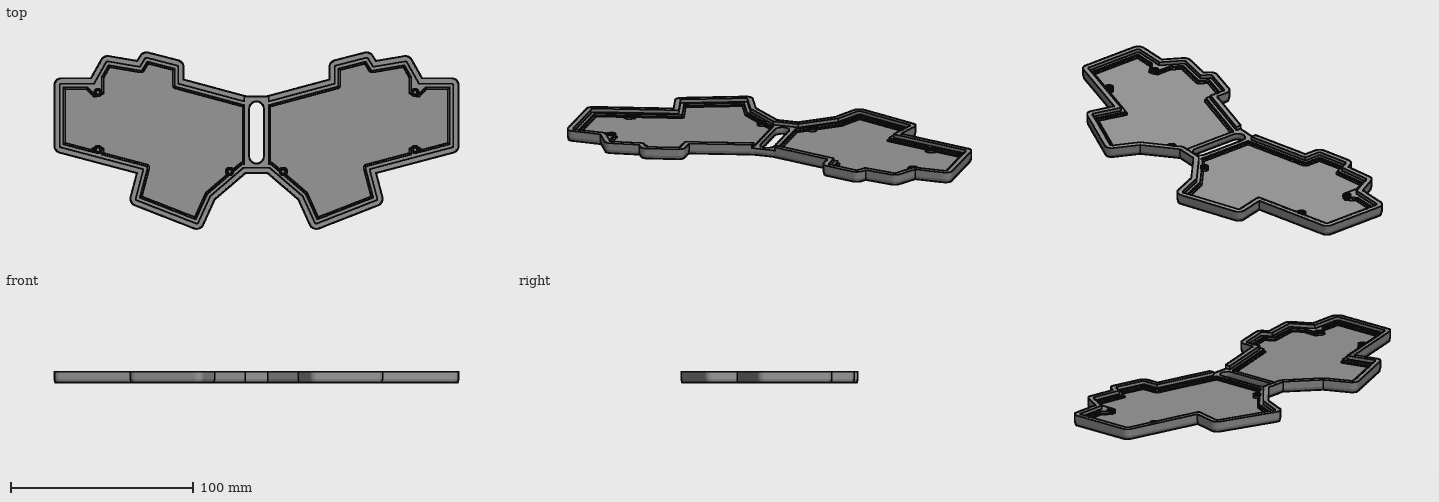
import cadquery as cq
import math

total_height = 6.0
ledge_height = 4.0
floor_height = 2.5

wall_offset = 4.0
clearance = 1.0
ledge_inset = 1.0

base_bevel_width = 0.49
base_bevel_height = 2.0
slot_flare_width = 0.49

floor_bevel_width = 1.0
floor_bevel_height = floor_bevel_width / 2

bridge_half_width = 6.7
bridge_opening_bottom = 17.8
slot_width = 8.0
slot_top = 21.5
slot_bottom = -12.5

post_radius = 2.2
screw_diameter = 2.2
recess_diameter = 4.0
recess_depth = 0.49
upper_post = (-87.0, 26.7)
lower_post = (-87.0, -4.9)
inner_post = (-14.7, -16.9)
upper_web_height = 12.2
upper_web_reach = 6.7
lower_web_depth = 4.5

left_outline = [
    (-7.5, -13.8),
    (-26.2, -29.8),
    (-32.9, -44.5),
    (-65.3, -31.8),
    (-60.9, -14.9),
    (-107.0, -2.7),
    (-107.0, 30.5),
    (-88.6, 30.5),
    (-81.7, 42.7),
    (-63.5, 39.5),
    (-60.5, 44.7),
    (-44.0, 40.5),
    (-44.0, 30.7),
    (-6.0, 20.5),
]


def mirrored(point):
    """The matching point in the right half."""
    return (-point[0], point[1])


board_outline = left_outline + [mirrored(point) for point in reversed(left_outline)]


def bevel_angle(width, height):
    """Draft angle in degrees of a bevel of the given width and height."""
    return math.degrees(math.atan(width / height))


def plane_at(height):
    """Horizontal workplane at the given height."""
    return cq.Workplane("XY", origin=(0, 0, height))


def outline_prism(offset, bottom, top):
    """Prism over the board outline grown by `offset` (shrunk when negative)."""
    outline = plane_at(bottom).polyline(board_outline).close()
    return outline.offset2D(offset, "arc").extrude(top - bottom)


def with_floor_bevel(draw_outline):
    """Column standing on the tray floor, with a sloped skirt round its foot."""
    column = draw_outline(plane_at(floor_height)).extrude(total_height - floor_height)
    skirt = draw_outline(plane_at(floor_height)).offset2D(floor_bevel_width, "arc")
    taper = bevel_angle(floor_bevel_width, floor_bevel_height)
    return column.union(skirt.extrude(floor_bevel_height, taper=taper))


def post(centre):
    """Round screw post."""
    return with_floor_bevel(lambda plane: plane.center(*centre).circle(post_radius))


def web(points):
    """Solid filling between a post and the tray wall."""
    return with_floor_bevel(lambda plane: plane.polyline(points).close())


def upper_web():
    """Web from the upper post to the inner corner of the wall: upright right side, 45 degree left side."""
    x, y = upper_post
    side = post_radius * math.sqrt(0.5)
    return web([
        (x + post_radius, y),
        (x + post_radius, y + upper_web_height),
        (x - side - upper_web_reach, y - side + upper_web_reach),
        (x - side, y - side),
    ])


def lower_web():
    """Web from the lower post straight down to the wall."""
    x, y = lower_post
    return web([
        (x - post_radius, y),
        (x - post_radius, y - lower_web_depth),
        (x + post_radius, y - lower_web_depth),
        (x + post_radius, y),
    ])


def tray_islands():
    """Everything that stands on the tray floor: posts, webs and the bridge."""
    left = post(upper_post).union(upper_web())
    left = left.union(post(lower_post)).union(lower_web()).union(post(inner_post))
    bridge_length = slot_top - slot_bottom
    bridge = with_floor_bevel(lambda plane: plane.rect(2 * bridge_half_width, 3 * bridge_length))
    return left.union(left.mirror("YZ")).union(bridge)


def floor_pockets():
    """Deep pockets of both trays, below the ledge that carries the boards."""
    pocket = outline_prism(-ledge_inset, floor_height, ledge_height)
    pocket = pocket.faces("<Z").chamfer(floor_bevel_height, floor_bevel_width)
    return pocket.cut(tray_islands())


def slot():
    """Long hole through the bridge, flared towards the underside."""
    length = slot_top - slot_bottom
    plane = cq.Workplane("XY").center(0, (slot_top + slot_bottom) / 2)
    straight = plane.slot2D(length, slot_width, 90).extrude(total_height)
    flare = plane.slot2D(length + 2 * slot_flare_width, slot_width + 2 * slot_flare_width, 90)
    taper = bevel_angle(slot_flare_width, base_bevel_height)
    return straight.union(flare.extrude(base_bevel_height, taper=taper))


def bridge_opening():
    """Gap in the rim above the top end of the bridge."""
    plane = plane_at(ledge_height).center(0, bridge_opening_bottom)
    return plane.rect(2 * bridge_half_width, 2 * wall_offset + 11).extrude(total_height)


body = outline_prism(wall_offset, 0, total_height)
body = body.faces("<Z").chamfer(base_bevel_height, base_bevel_width)
body = body.cut(outline_prism(clearance, ledge_height, total_height))
body = body.cut(bridge_opening())
body = body.cut(slot())
body = body.cut(floor_pockets())

left_posts = [upper_post, lower_post, inner_post]
all_posts = left_posts + [mirrored(centre) for centre in left_posts]
post_tops = plane_at(ledge_height).pushPoints(all_posts)
body = body.cut(post_tops.circle(recess_diameter / 2).extrude(-recess_depth))
body = body.cut(post_tops.circle(screw_diameter / 2).extrude(floor_height - ledge_height))

result = body